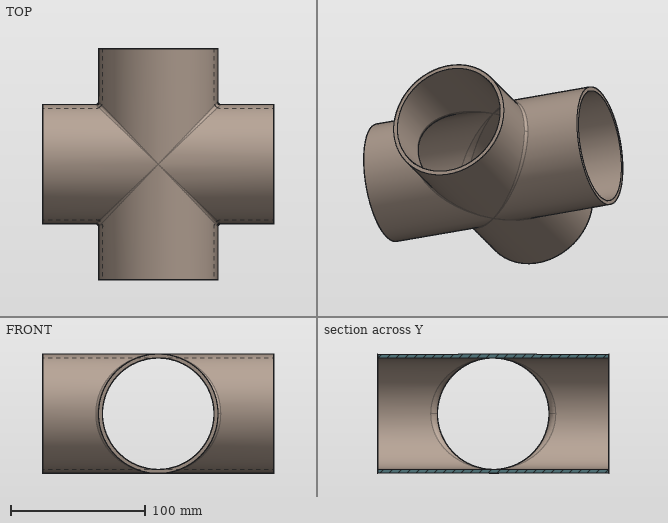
import cadquery as cq

LENGTH = 172.0
OUTER_DIAMETER = 89.0
BORE_DIAMETER = 82.9
WALL = (OUTER_DIAMETER - BORE_DIAMETER) / 2

OUTER_SEAM_RADIUS = 2.0
BORE_SEAM_RADIUS = OUTER_SEAM_RADIUS + WALL


def crossed_cylinders(diameter, seam_radius):
    """Two equal cylinders along X and Y, with the elliptical seams between them rounded."""
    along_x = cq.Workplane("YZ").circle(diameter / 2).extrude(LENGTH / 2, both=True)
    along_y = cq.Workplane("XZ").circle(diameter / 2).extrude(LENGTH / 2, both=True)
    return along_x.union(along_y).edges("%ELLIPSE").fillet(seam_radius)


outside = crossed_cylinders(OUTER_DIAMETER, OUTER_SEAM_RADIUS)
bores = crossed_cylinders(BORE_DIAMETER, BORE_SEAM_RADIUS)

result = outside.cut(bores).solids()